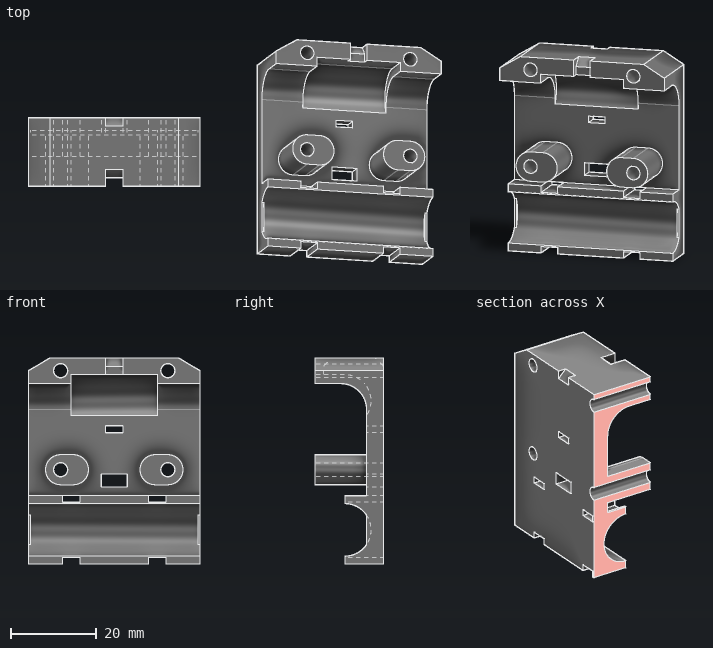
import cadquery as cq
import math

width = 40.0
depth = 16.0
height = 48.0
plate = 4.0
overlap = 0.5

bar_bottom = 42.0
bar_fillet = 6.0
corner_run = 5.0
corner_drop = 3.0

ledge_depth = 9.0
ledge_top = 16.0
cradle_radius = 6.1
cradle_z = ledge_top / 2
end_stop = 0.5

relief_width = 20.15
relief_z = 38.0

hole_diameter = 3.2
hole_x = 12.5
upper_hole_z = height - corner_drop
post_z = 22.0
post_width = 7.0
post_length = 10.0

strap_width = 4.0
strap_height = 1.55
strap_x = width / 4
strap_slope = 1.95
upper_slot_z = 31.4
window_width = 6.0
window_height = 3.0
window_z = 19.5


def block(x_size, y_min, y_max, z_min, z_max, x_center=0.0):
    """Box centred on x_center and spanning the given Y and Z ranges."""
    box = cq.Workplane("XY").box(x_size, y_max - y_min, z_max - z_min)
    return box.translate((x_center, (y_min + y_max) / 2, (z_min + z_max) / 2))


def rod(radius, length, y, z):
    """Cylinder along X, centred on x = 0."""
    return cq.Workplane("YZ").center(y, z).circle(radius).extrude(length / 2, both=True)


def side_profile(points):
    """Closed Y-Z outline extruded over the strap width."""
    return cq.Workplane("YZ").polyline(points).close().extrude(strap_width / 2, both=True)


def body():
    """Side profile with the filleted bar and ledge, trimmed at the top corners."""
    arc_reach = bar_fillet * (1 - math.sqrt(0.5))
    profile = (
        cq.Workplane("YZ")
        .lineTo(0, height)
        .lineTo(-depth, height)
        .lineTo(-depth, bar_bottom)
        .lineTo(-plate - bar_fillet, bar_bottom)
        .threePointArc(
            (-plate - arc_reach, bar_bottom - arc_reach),
            (-plate, bar_bottom - bar_fillet),
        )
        .lineTo(-plate, ledge_top)
        .lineTo(-ledge_depth, ledge_top)
        .lineTo(-ledge_depth, 0)
        .close()
        .extrude(width / 2, both=True)
    )
    return profile.edges("|Y and >Z").chamfer(corner_run, corner_drop)


def cradle_cutter():
    """Round trough, held back to the plate face at the two end stops."""
    trough = rod(cradle_radius, width, -ledge_depth, cradle_z)
    deep_part = block(width - 2 * end_stop, -depth, 0, 0, ledge_top)
    shallow_part = block(width, -depth, -plate, 0, ledge_top)
    return trough.intersect(deep_part.union(shallow_part))


def relief_cutter():
    """Cylinder sunk into the plate, opened straight out to the front of the bar."""
    axis_y = -ledge_depth
    relief_top = relief_z + cradle_radius
    opening = block(relief_width, -depth - overlap, axis_y, relief_z, relief_top)
    return rod(cradle_radius, relief_width, axis_y, relief_z).union(opening)


def top_strap_cutters():
    """Sloped strap notches at the front and back edges of the bar."""
    front_floor = -depth + strap_slope
    front = side_profile([
        (-depth - overlap, bar_bottom - overlap),
        (front_floor, bar_bottom - overlap),
        (front_floor, height - strap_slope),
        (front_floor + strap_slope, height),
        (-depth - overlap, height),
    ])
    back = side_profile([(-strap_slope, height), (0, height), (0, height - strap_slope)])
    return front.union(back)


def through_slot(x, z_center, x_size, z_size):
    """Rectangular passage along the full depth."""
    return block(x_size, -depth, 0, z_center - z_size / 2, z_center + z_size / 2, x)


result = body().cut(cradle_cutter()).cut(relief_cutter()).cut(top_strap_cutters())
result = result.cut(through_slot(0, upper_slot_z, strap_width, strap_height))
result = result.cut(through_slot(0, window_z, window_width, window_height))

for side in (-1, 1):
    for slot_z in (strap_height / 2, ledge_top - strap_height / 2):
        result = result.cut(through_slot(side * strap_x, slot_z, strap_width, strap_height))

    post_x = side * (hole_x - (post_length - post_width) / 2)
    post = (
        cq.Workplane("XZ", origin=(post_x, -plate + overlap, post_z))
        .slot2D(post_length, post_width)
        .extrude(depth - plate + overlap)
    )
    result = result.union(post)

    for hole_z in (post_z, upper_hole_z):
        hole = (
            cq.Workplane("XZ", origin=(side * hole_x, 0, hole_z))
            .circle(hole_diameter / 2)
            .extrude(depth)
        )
        result = result.cut(hole)